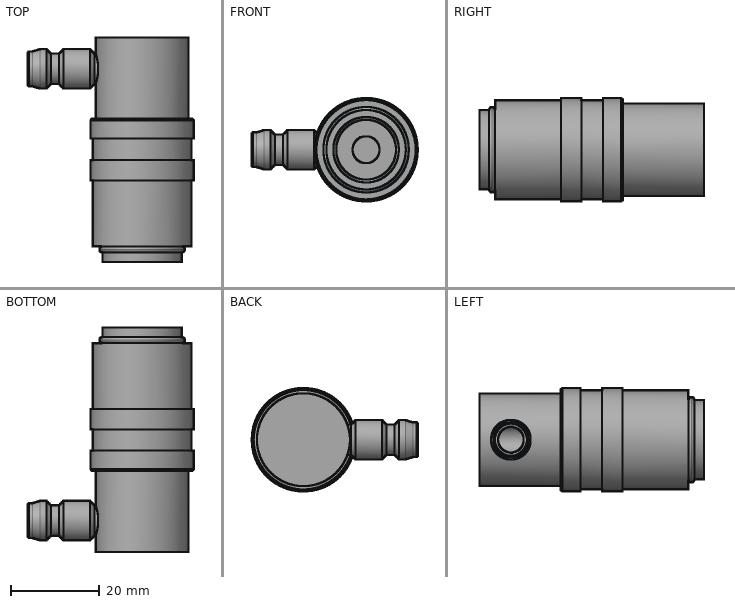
import cadquery as cq

length = 51
overall_width = 37.75
lip_radius = 18.05 / 2
lip_length = 2.2
bead_length = 1.4
bead_radius = bead_length / 2
barrel_start = lip_length + bead_length
barrel_radius = 11.25
ring_radius = 23.5 / 2
ring_length = 4.65
front_ring_start = 18.5
rear_ring_start = 28.0
shoulder_chamfer = 0.45
rear_radius = 10.55

mouth_radius = 7.45
cavity_radius = 6.8
mouth_chamfer = mouth_radius - cavity_radius
cavity_depth = 32.65

tip_x = ring_radius - overall_width
nozzle_y = 43.85
nozzle_radius = 9.05 / 2
neck_radius = 7.0 / 2
tip_radius = 4.0
tip_edge = 0.33
tip_length = 1.05
barb_taper_end = 2.85
barb_length = 4.25
nozzle_chamfer = nozzle_radius - neck_radius
groove_end = 7.15
collar_end = 14.15
passage_radius = 3.05
nozzle_bore_radius = 2.9


def cylinder_along_y(radius, start, end):
    return cq.Workplane("XZ", origin=(0, start, 0)).circle(radius).extrude(start - end)


def make_barrel():
    barrel = cylinder_along_y(lip_radius, 0, barrel_start)
    barrel = barrel.union(cylinder_along_y(barrel_radius, barrel_start, rear_ring_start))
    barrel = barrel.union(cylinder_along_y(rear_radius, rear_ring_start, length))
    front_ring = cylinder_along_y(ring_radius, front_ring_start, front_ring_start + ring_length)
    rear_ring = cylinder_along_y(ring_radius, rear_ring_start, rear_ring_start + ring_length)
    rear_ring = rear_ring.faces(">Y").chamfer(shoulder_chamfer)
    return barrel.union(front_ring).union(rear_ring)


def make_bead():
    """Half-round bead in the corner between the lip and the barrel."""
    crest = (lip_radius + bead_radius, lip_length + bead_radius)
    return (
        cq.Workplane("XY")
        .moveTo(0, lip_length)
        .lineTo(lip_radius, lip_length)
        .radiusArc(crest, -bead_radius)
        .radiusArc((lip_radius, barrel_start), -bead_radius)
        .lineTo(0, barrel_start)
        .close()
        .revolve(360, (0, 0, 0), (0, 1, 0))
    )


def make_nozzle():
    """Barbed spigot revolved about its own axis; x is measured inward from the tip."""
    profile = [
        (0, 0),
        (0, tip_radius - tip_edge),
        (tip_edge, tip_radius),
        (tip_length, tip_radius),
        (barb_taper_end, nozzle_radius),
        (barb_length, nozzle_radius),
        (barb_length + nozzle_chamfer, neck_radius),
        (groove_end, neck_radius),
        (groove_end + nozzle_chamfer, nozzle_radius),
        (collar_end, nozzle_radius),
        (collar_end + nozzle_chamfer, neck_radius),
        (-tip_x, neck_radius),
        (-tip_x, 0),
    ]
    nozzle = cq.Workplane("XY").polyline(profile).close().revolve(360, (0, 0, 0), (1, 0, 0))
    return nozzle.translate((tip_x, nozzle_y, 0))


def make_cavity():
    """Chamfered front cavity, continued by a narrow passage that meets the nozzle bore."""
    mouth = (
        cq.Workplane("XZ")
        .circle(mouth_radius)
        .workplane(offset=-mouth_chamfer)
        .circle(cavity_radius)
        .loft(ruled=True)
    )
    cavity = cylinder_along_y(cavity_radius, 0, cavity_depth)
    passage = cylinder_along_y(passage_radius, cavity_depth, nozzle_y + passage_radius)
    nozzle_bore = cq.Workplane("YZ", origin=(tip_x, nozzle_y, 0)).circle(nozzle_bore_radius).extrude(-tip_x)
    return cavity.union(mouth).union(passage).union(nozzle_bore)


result = make_barrel().union(make_bead()).union(make_nozzle()).cut(make_cavity())